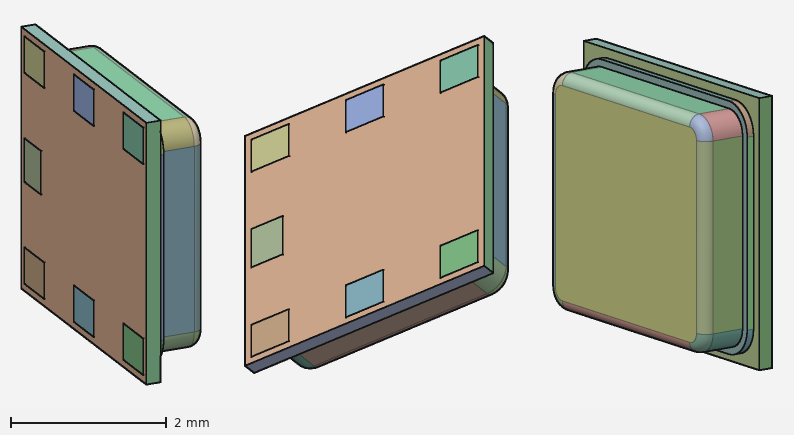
import cadquery as cq

board_length = 3.8
board_height = 3.6
board_thickness = 0.2

overall_depth = 0.93
cap_length = 3.35
cap_height = 3.15
cap_corner_radius = 0.3
cap_edge_radius = 0.152
rim_width = 0.1
rim_thickness = 0.103
cap_depth = overall_depth - board_thickness - rim_thickness

pad_long = 0.6
pad_short = 0.5
pad_thickness = 0.038
pad_edge_gap = 0.1

corner_pad_x = board_length / 2 - pad_edge_gap - pad_long / 2
row_pad_z = board_height / 2 - pad_edge_gap - pad_short / 2
side_pad_x = -(board_length / 2 - pad_edge_gap - pad_short / 2)

row_pads = [
    (x, z, pad_long, pad_short)
    for z in (-row_pad_z, row_pad_z)
    for x in (-corner_pad_x, 0, corner_pad_x)
]
side_pad = (side_pad_x, 0, pad_short, pad_long)
pad_layout = row_pads + [side_pad]


def make_block(length, depth, height, front_y):
    """Box centred on X and Z that runs from front_y toward +Y."""
    block = cq.Workplane("XY").box(length, depth, height, centered=(True, False, True))
    return block.translate((0, front_y, 0))


def make_pad(x, z, length, height):
    """Thin rectangular pad with its outer face on the plate's underside."""
    return make_block(length, pad_thickness, height, 0).translate((x, 0, z))


def make_rim():
    """Rounded rim whose corners are concentric with those of the cap."""
    rim = make_block(cap_length + 2 * rim_width, rim_thickness, cap_height + 2 * rim_width, board_thickness)
    return rim.edges("|Y").fillet(cap_corner_radius + rim_width)


def make_cap():
    """Rounded cap with a rounded edge around its +Y face."""
    cap = make_block(cap_length, cap_depth, cap_height, board_thickness + rim_thickness)
    return cap.edges("|Y").fillet(cap_corner_radius).faces(">Y").edges().fillet(cap_edge_radius)


def make_housing(pads):
    """Plate, rim and cap as one body, with a matching recess for each pad."""
    housing = make_block(board_length, board_thickness, board_height, 0)
    housing = housing.union(make_rim()).union(make_cap())
    for pad in pads:
        housing = housing.cut(pad)
    return housing.solids()


pads = [make_pad(*placement) for placement in pad_layout]
housing = make_housing(pads)

result = cq.Compound.makeCompound([housing.val(), *[pad.val() for pad in pads]])